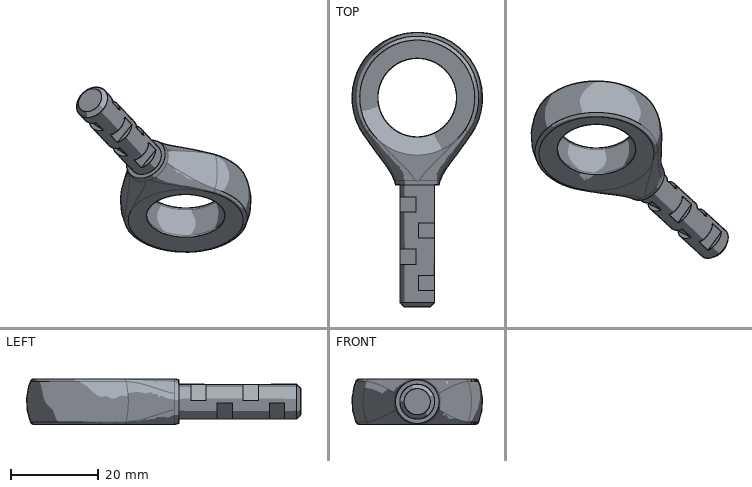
import cadquery as cq
import math

eye_radius = 15.0
thickness = 10.5
half_thickness = thickness / 2
rim_radius = 14.1
rim_height = 4.65
rim_round = 0.9
flat_radius = rim_radius - rim_round
rim_bulge = 0.15

mouth_radius = 9.0
mouth_height = 4.0
lip_height = 0.5
seat_edge_height = mouth_height - lip_height
seat_radius = math.hypot(mouth_radius, seat_edge_height)

neck_end = -19.0
collar_blend = 0.3
collar_end = -20.0
neck_flat_half_width = 0.5
neck_side_height = 1.85
neck_radius = math.hypot(neck_flat_half_width, half_thickness)
collar_radius = 5.0

shank_radius = 4.0
shank_end = -48.0
tip_chamfer = 1.0

notch_length = 3.5
notch_floor = 3.0
first_notch = -24.5
notch_pitch = 6.0
notch_rows = 4
notch_lean = 45

neck_corner_distance = math.hypot(neck_radius, neck_end)
tangent_angle = math.atan2(neck_end, neck_radius) + math.acos(eye_radius / neck_corner_distance)
flank_length = math.sqrt(neck_corner_distance**2 - eye_radius**2)


def rim_middle():
    """Mid point of the rounded rim as (radius, height)."""
    chord_radius = (rim_radius + flat_radius) / 2
    chord_height = (rim_height + half_thickness) / 2
    offset = rim_bulge * math.sqrt(0.5)
    return chord_radius + offset, chord_height + offset


def barrel_points():
    """Eye section outside the flat faces, bottom to top: rim, crown and rim as (radius, height)."""
    middle_radius, middle_height = rim_middle()
    lower = [(flat_radius, -half_thickness), (middle_radius, -middle_height), (rim_radius, -rim_height)]
    upper = [(radius, -height) for radius, height in reversed(lower)]
    return lower + [(eye_radius, 0)] + upper


def neck_end_points():
    """Right half of the flattened round at the collar, matched point by point to the barrel."""
    side_angle = math.asin(neck_side_height / neck_radius)
    top_angle = math.asin(half_thickness / neck_radius)
    middle_angle = (side_angle + top_angle) / 2
    angles = [-top_angle, -middle_angle, -side_angle, 0, side_angle, middle_angle, top_angle]
    return [(neck_radius * math.cos(angle), neck_radius * math.sin(angle)) for angle in angles]


def section_wire(points):
    """Three arcs through seven points, closed by a straight inner side."""
    p = [cq.Vector(*point) for point in points]
    arcs = [cq.Edge.makeThreePointArc(*p[i:i + 3]) for i in (0, 2, 4)]
    return cq.Wire.assembleEdges(arcs + [cq.Edge.makeLine(p[6], p[0])])


def flank_points(t):
    """Neck section a fraction t of the way from the eye to the collar.

    Every point follows a cubic that leaves the eye tangentially and enters the collar along Y.
    """
    eye_weight = 2 * t**3 - 3 * t**2 + 1
    eye_pull = flank_length * (t**3 - 2 * t**2 + t)
    collar_pull = collar_blend * flank_length * (t**3 - t**2)
    points = []
    for (radius, root_z), (end_x, end_z) in zip(barrel_points(), neck_end_points()):
        root_x = radius * math.cos(tangent_angle)
        root_y = radius * math.sin(tangent_angle)
        x = eye_weight * root_x + (1 - eye_weight) * end_x + eye_pull * math.sin(tangent_angle)
        y = eye_weight * root_y + (1 - eye_weight) * neck_end
        y -= eye_pull * math.cos(tangent_angle) + collar_pull
        z = eye_weight * root_z + (1 - eye_weight) * end_z
        points.append((x, y, z))
    return points


def make_flank():
    """Right-hand side of the neck, a smooth skin over evenly spaced sections."""
    spans = 4
    sections = [section_wire(flank_points(i / spans)) for i in range(spans + 1)]
    return cq.Workplane(cq.Solid.makeLoft(sections))


def make_rim():
    """Outer ring of the eye, left open where the neck flanks take over."""
    wire = section_wire([(radius, 0, height) for radius, height in barrel_points()])
    start = math.degrees(tangent_angle)
    ring = cq.Solid.revolve(wire, [], 180 - 2 * start, cq.Vector(0, 0, 0), cq.Vector(0, 0, 1))
    return cq.Workplane(ring).rotate((0, 0, 0), (0, 0, 1), start)


def make_core(flank):
    """Flat plate filling the ring and the space between the two flanks."""
    right = flank.edges(">Z").val()
    left = right.mirror("YZ")
    right_root = cq.Vector(*flank_points(0)[-1])
    left_root = cq.Vector(-right_root.x, right_root.y, right_root.z)
    right_end = cq.Vector(*flank_points(1)[-1])
    left_end = cq.Vector(-right_end.x, right_end.y, right_end.z)
    crest = cq.Vector(0, flat_radius, half_thickness)
    arc = cq.Edge.makeThreePointArc(right_root, crest, left_root)
    outline = cq.Wire.assembleEdges([right, arc, left, cq.Edge.makeLine(left_end, right_end)])
    return cq.Workplane(cq.Solid.extrudeLinear(outline, [], cq.Vector(0, 0, -thickness)))


def make_collar():
    """Tapered collar, flattened to the thickness of the eye."""
    cone = (
        cq.Workplane("XZ", origin=(0, neck_end, 0))
        .circle(neck_radius)
        .workplane(offset=neck_end - collar_end)
        .circle(collar_radius)
        .loft()
    )
    slab = cq.Workplane("XY").box(2 * eye_radius, 2 * abs(collar_end), thickness)
    return cone.intersect(slab)


def make_shank():
    """Round shank with a chamfered tip."""
    base = cq.Workplane("XZ", origin=(0, collar_end, 0))
    shank = base.circle(shank_radius).extrude(collar_end - shank_end)
    return shank.faces("<Y").chamfer(tip_chamfer)


def make_seat_cutter():
    """Spherical bearing seat with a conical dish opening on both faces."""
    return (
        cq.Workplane("XZ")
        .moveTo(0, -half_thickness)
        .lineTo(flat_radius, -half_thickness)
        .lineTo(mouth_radius, -mouth_height)
        .lineTo(mouth_radius, -seat_edge_height)
        .threePointArc((seat_radius, 0), (mouth_radius, seat_edge_height))
        .lineTo(mouth_radius, mouth_height)
        .lineTo(flat_radius, half_thickness)
        .lineTo(0, half_thickness)
        .close()
        .revolve(360, (0, 0, 0), (0, 1, 0))
    )


def make_notch_pair(row):
    """Two opposite flats; successive rows turn by 90 degrees."""
    y = first_notch - row * notch_pitch
    height = shank_radius
    lean = -notch_lean if row % 2 == 0 else notch_lean
    block = cq.Workplane("XY").box(2 * shank_radius, notch_length, height)
    upper = block.translate((0, y, notch_floor + height / 2))
    lower = block.translate((0, y, -notch_floor - height / 2))
    return upper.union(lower).rotate((0, 0, 0), (0, 1, 0), lean)


flank = make_flank()
result = make_core(flank).union(make_rim()).union(flank).union(flank.mirror("YZ"))
result = result.union(make_collar()).union(make_shank())
result = result.cut(make_seat_cutter())
for row in range(notch_rows):
    result = result.cut(make_notch_pair(row))